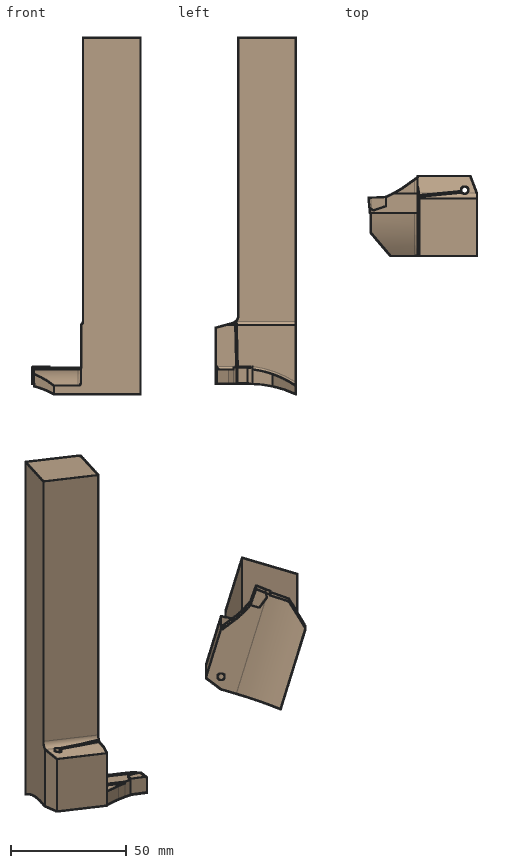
import cadquery as cq
import math


total_x = 47.0
total_y = 34.6
total_z = 154.0

shank_side = 25.0
shank_left = total_x - shank_side
head_left = 21.2
head_side_top = 30.0
head_side_radius = 1.7

clamp_edge_z = 28.8
clamp_slope = math.radians(15)
clamp_fillet = 3.1
clamp_bevel_x = 3.0
clamp_bevel_y = 7.7

blade_left = 1.0
blade_corner_y = 10.2
blade_front_x = 9.5
blade_fillet = 1.2
seat_left = 0.6
gusset_start_x = 10.5
gusset_bend_x = 14.3
gusset_bend_y = 29.1
gusset_end_y = 34.0
blade_front_z = 3.7
blade_corner_z = 8.8
blade_top_z = 10.8
blade_bottom_z = 4.5
bottom_crest_y = 20.0

seat_front_y = 18.6
seat_back_y = 27.0
seat_wall_y = 26.0
seat_z = 11.5

insert_tip_y = 25.2
insert_heel_x = 7.5
insert_heel_back_y = 25.5
insert_heel_front_y = 21.5
insert_neck_x = 2.2
insert_neck_y = 19.7
insert_face_x = 0.5
insert_face_y = 20.8
insert_bottom_z = 4.8
insert_top_z = 12.0
insert_edge_radius = 1.0

hole_x = 41.5
hole_y = 28.5
hole_diameter = 3.1
slit_width = 0.8
slit_wall_y = 25.4
slit_end_y = 27.4
slit_lean = math.radians(1.4)
slit_top_z = 37.0


def extrude_outline(points, bottom, top):
    """Vertical prism over a closed XY outline."""
    return cq.Workplane("XY").workplane(offset=bottom).polyline(points).close().extrude(top - bottom)


def make_shank():
    """Square bar, as wide as the head before its sides are trimmed."""
    return (
        cq.Workplane("XY")
        .box(total_x - head_left, shank_side, total_z, centered=False)
        .translate((head_left, 0, 0))
    )


def make_head_side():
    """Side envelope of the head, thicker than the shank and run out into it with a hollow arc."""
    step = shank_left - head_left
    runout = math.sqrt(2 * head_side_radius * step - step**2)
    half_angle = math.asin(runout / head_side_radius) / 2
    top = head_side_top + runout
    arc_middle = (
        shank_left - head_side_radius * (1 - math.cos(half_angle)),
        top - head_side_radius * math.sin(half_angle),
    )
    profile = (
        cq.Workplane("XZ")
        .moveTo(head_left, 0)
        .lineTo(head_left, head_side_top)
        .threePointArc(arc_middle, (shank_left, top))
        .lineTo(shank_left, total_z)
        .lineTo(total_x, total_z)
        .lineTo(total_x, 0)
        .close()
    )
    return profile.extrude(-total_y)


def make_clamp_block():
    """Block behind the shank with a sloping top, blended into the shank, and a bevelled outer corner."""
    slope_foot_z = clamp_edge_z + (total_y - shank_side) * math.tan(clamp_slope)
    tangent = clamp_fillet * math.tan((math.pi / 2 - clamp_slope) / 2)
    arc_centre_y = shank_side + clamp_fillet
    arc_centre_z = slope_foot_z + tangent
    half_sweep = (math.pi / 2 - clamp_slope) / 2
    arc_middle = (
        arc_centre_y - clamp_fillet * math.cos(half_sweep),
        arc_centre_z - clamp_fillet * math.sin(half_sweep),
    )
    arc_end = (
        shank_side + tangent * math.cos(clamp_slope),
        slope_foot_z - tangent * math.sin(clamp_slope),
    )
    block = (
        cq.Workplane("YZ")
        .workplane(offset=head_left)
        .moveTo(shank_side, 0)
        .lineTo(shank_side, arc_centre_z)
        .threePointArc(arc_middle, arc_end)
        .lineTo(total_y, clamp_edge_z)
        .lineTo(total_y, 0)
        .close()
        .extrude(total_x - head_left)
    )
    bevel = [
        (total_x, total_y - clamp_bevel_y),
        (total_x, total_y),
        (total_x - clamp_bevel_x, total_y),
    ]
    return block.cut(extrude_outline(bevel, 0, total_z))


def blade_outline():
    """Front edge, slanted corner, end face with the seat step, then the gusset back to the head."""
    return [
        (head_left, 0),
        (blade_front_x, 0),
        (blade_left, blade_corner_y),
        (blade_left, seat_front_y),
        (seat_left, seat_front_y),
        (0, insert_tip_y),
        (insert_heel_x, insert_heel_back_y),
        (gusset_start_x, seat_back_y),
        (gusset_bend_x, gusset_bend_y),
        (head_left, gusset_end_y),
    ]


def blend_into_wall(ledge, start_y, end_y):
    """Join a ledge to a slice of the head wall and round the inner corner between them."""
    wall = (
        cq.Workplane("XY")
        .box(blade_fillet, end_y - start_y, seat_z + 2 * blade_fillet, centered=False)
        .translate((head_left, start_y, 0))
    )
    near_corner = cq.selectors.BoxSelector(
        (head_left - blade_fillet, start_y + blade_fillet, blade_front_z),
        (head_left + blade_fillet / 2, end_y - blade_fillet, blade_top_z + blade_fillet),
    )
    return ledge.union(wall).edges(near_corner).fillet(blade_fillet)


def make_blade():
    """Blade with an arched top in front of the seat and a level gusset behind it."""
    arch = (
        cq.Workplane("YZ")
        .lineTo(0, blade_front_z)
        .threePointArc((blade_corner_y, blade_corner_z), (seat_front_y, blade_top_z))
        .lineTo(seat_front_y, 0)
        .close()
        .extrude(head_left)
    )
    gusset = (
        cq.Workplane("XY")
        .box(head_left, total_y - seat_front_y, blade_top_z, centered=False)
        .translate((0, seat_front_y, 0))
    )
    arch = blend_into_wall(arch, 0, seat_front_y)
    gusset = blend_into_wall(gusset, seat_front_y, total_y)
    return arch.union(gusset).intersect(extrude_outline(blade_outline(), 0, total_z))


def make_seat():
    """Raised strip that follows the blade outline between the seat edges."""
    strip = (
        cq.Workplane("XY")
        .box(head_left, seat_back_y - seat_front_y, seat_z, centered=False)
        .translate((0, seat_front_y, 0))
    )
    return strip.intersect(extrude_outline(blade_outline(), 0, seat_z))


def make_seat_clearance():
    """Space that keeps the blend at the head wall off the seat."""
    return (
        cq.Workplane("XY")
        .box(head_left, seat_wall_y - seat_front_y, seat_z, centered=False)
        .translate((0, seat_front_y, seat_z))
    )


def make_bottom_hollow():
    """Space under the arched bottom, which climbs from the front edge and then runs level."""
    radius = (bottom_crest_y**2 + blade_bottom_z**2) / (2 * blade_bottom_z)
    middle_y = bottom_crest_y / 2
    middle_z = blade_bottom_z - radius + math.sqrt(radius**2 - middle_y**2)
    return (
        cq.Workplane("YZ")
        .threePointArc((middle_y, middle_z), (bottom_crest_y, blade_bottom_z))
        .lineTo(total_y, blade_bottom_z)
        .lineTo(total_y, 0)
        .close()
        .extrude(total_x)
    )


def make_slit():
    """Thin leaning slot from the head wall to the relief hole, open at the top."""
    half = slit_width / 2
    foot = [
        (head_left, slit_wall_y - half),
        (hole_x, slit_end_y - half),
        (hole_x, slit_end_y + half),
        (head_left, slit_wall_y + half),
    ]
    height = slit_top_z - seat_z
    shift = height * math.tan(slit_lean)
    mouth = [(x, y + shift) for x, y in foot]
    return (
        cq.Workplane("XY", origin=(0, 0, seat_z))
        .polyline(foot)
        .close()
        .workplane(offset=height)
        .polyline(mouth)
        .close()
        .loft(ruled=True)
    )


def make_hole():
    return cq.Workplane("XY").center(hole_x, hole_y).circle(hole_diameter / 2).extrude(total_z)


def make_insert_blank():
    """Square-edged insert, which is also the shape of its pocket in the blade."""
    outline = [
        (0, insert_tip_y),
        (insert_heel_x, insert_heel_back_y),
        (insert_heel_x, insert_heel_front_y),
        (insert_neck_x, insert_neck_y),
        (insert_face_x, insert_face_y),
    ]
    return extrude_outline(outline, insert_bottom_z, insert_top_z)


def make_insert():
    """Insert with the top of its end face rounded over."""
    return make_insert_blank().faces(">Z").edges("<X").fillet(insert_edge_radius)


def make_holder():
    """Shank, head, clamp block and blade in one piece, with the insert pocket cut out."""
    body = make_shank().union(make_clamp_block()).intersect(make_head_side())
    body = body.union(make_blade()).union(make_seat())
    body = body.cut(make_seat_clearance()).cut(make_bottom_hollow())
    body = body.cut(make_slit()).cut(make_hole())
    return body.cut(make_insert_blank())


holder = make_holder()
insert = make_insert()
result = cq.Compound.makeCompound([holder.val(), insert.val()])